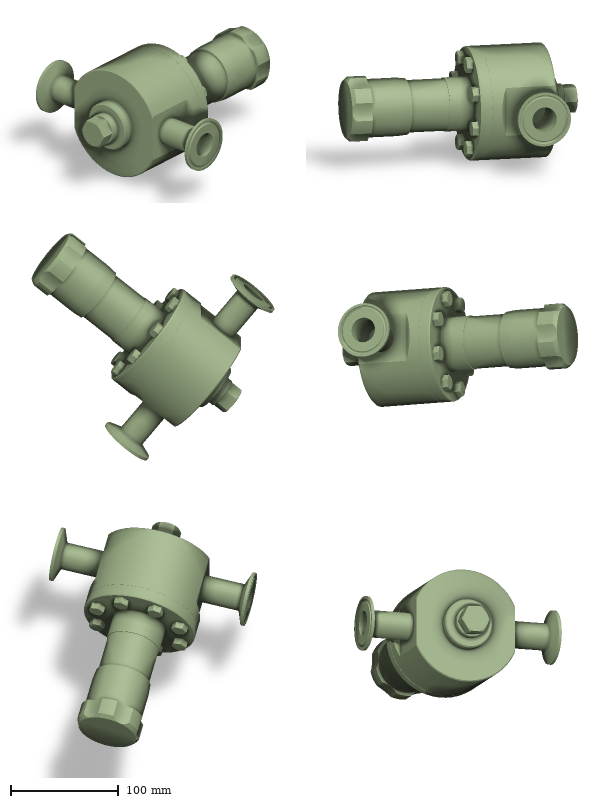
import cadquery as cq
import math


body_radius = 53.34
body_front = -22.2
body_edge_chamfer = 1.0
joint_y = 39.9
joint_groove_width = 0.6
joint_groove_depth = 0.2
cover_back = 50.8
cover_chamfer_radial = 0.4
cover_chamfer_axial = 1.3
flat_x = 48.3
flat_back = 25.7

cutter_clearance = 10.0

hub_radius = 23.0
hub_front = -31.9
hub_chamfer = 1.2
root_fillet = 1.1
stem_radius = 14.3
stem_front = -39.5
stem_chamfer = 0.7
hex_across_flats = 24.0
hex_front = -52.07
hex_turn = 3.0
hex_chamfer_axial = 1.1

collar_radius = 25.15
collar_back = 73.3
neck_radius = 24.4
sleeve_radius = 27.2
sleeve_mouth_radius = 26.35
sleeve_front = 109.9
sleeve_taper_length = 11.4

cap_radius = 30.3
cap_front = 148.2
cap_back = 167.39
cap_chamfer_radial = 2.9
cap_chamfer_axial = 3.4
flute_count = 6
flute_first_angle = 55.4
flute_half_angle = 16.0
flute_floor_radius = 27.3

bolt_count = 8
bolt_circle_radius = 42.9
bolt_across_flats = 12.7
bolt_head_height = 6.0
bolt_chamfer_axial = 0.6

ports_overall_width = 186.44
port_end_x = ports_overall_width / 2
pipe_radius = 12.7
bore_radius = 11.6
ferrule_radius = 25.3
ferrule_rim = 2.9
ferrule_cone_length = 5.0
ferrule_neck_fillet = 1.0
gasket_groove_radius = 21.7
gasket_groove_half_width = 1.35


def bevelled_disc(radius, y_end, y_start, radial, axial):
    """Solid of revolution about Y whose y_end edge is bevelled by radial x axial."""
    y_bevel = y_end - math.copysign(axial, y_end - y_start)
    profile = (
        cq.Workplane("XY")
        .moveTo(0, y_start)
        .lineTo(radius, y_start)
        .lineTo(radius, y_bevel)
        .lineTo(radius - radial, y_end)
        .lineTo(0, y_end)
        .close()
    )
    return profile.revolve(360, (0, 0, 0), (0, 1, 0))


def make_hexagon(across_flats, height, chamfer_axial, turn):
    """Hexagonal prism along +Z, its top turned down conically to the width across flats."""
    corner_radius = across_flats / math.sqrt(3)
    prism = (
        cq.Workplane("XY")
        .polygon(6, 2 * corner_radius)
        .extrude(height)
        .rotate((0, 0, 0), (0, 0, 1), turn)
    )
    envelope = cq.Workplane("XY").circle(corner_radius).extrude(height)
    envelope = envelope.faces(">Z").chamfer(chamfer_axial, corner_radius - across_flats / 2)
    return prism.intersect(envelope)


def make_body():
    """Round body and cover plate with a joint groove and a flat at each port."""
    body = bevelled_disc(body_radius, body_front, joint_y, body_edge_chamfer, body_edge_chamfer)
    cover = bevelled_disc(body_radius, cover_back, joint_y, cover_chamfer_radial, cover_chamfer_axial)
    body = body.union(cover)
    groove = (
        cq.Workplane("XZ", origin=(0, joint_y + joint_groove_width / 2, 0))
        .circle(body_radius + cutter_clearance)
        .circle(body_radius - joint_groove_depth)
        .extrude(joint_groove_width)
    )
    body = body.cut(groove)
    flat_cutter = (
        cq.Workplane("XY")
        .moveTo(flat_x, body_front - cutter_clearance)
        .lineTo(flat_x, flat_back)
        .lineTo(flat_x + cutter_clearance, flat_back + cutter_clearance)
        .lineTo(flat_x + cutter_clearance, body_front - cutter_clearance)
        .close()
        .extrude(body_radius, both=True)
    )
    return body.cut(flat_cutter).cut(flat_cutter.mirror("YZ"))


def make_front_end():
    """Hub, stem and hexagon projecting forward from the body."""
    hub = (
        cq.Workplane("XY")
        .moveTo(0, 0)
        .lineTo(hub_radius + root_fillet, 0)
        .lineTo(hub_radius + root_fillet, body_front)
        .radiusArc((hub_radius, body_front - root_fillet), -root_fillet)
        .lineTo(hub_radius, hub_front + hub_chamfer)
        .lineTo(hub_radius - hub_chamfer, hub_front)
        .lineTo(stem_radius, hub_front)
        .lineTo(stem_radius, stem_front + stem_chamfer)
        .lineTo(stem_radius - stem_chamfer, stem_front)
        .lineTo(0, stem_front)
        .close()
        .revolve(360, (0, 0, 0), (0, 1, 0))
    )
    hexagon = make_hexagon(hex_across_flats, stem_front - hex_front, hex_chamfer_axial, hex_turn)
    hexagon = hexagon.rotate((0, 0, 0), (1, 0, 0), 90).translate((0, stem_front, 0))
    return hub.union(hexagon)


def make_bonnet():
    """Collar, neck and sleeve stacked behind the cover."""
    taper_end = sleeve_front + sleeve_taper_length
    radius_drop = sleeve_radius - sleeve_mouth_radius
    taper_arc_radius = (sleeve_taper_length**2 + radius_drop**2) / (2 * radius_drop)
    return (
        cq.Workplane("XY")
        .moveTo(0, joint_y)
        .lineTo(collar_radius + root_fillet, joint_y)
        .lineTo(collar_radius + root_fillet, cover_back)
        .radiusArc((collar_radius, cover_back + root_fillet), root_fillet)
        .lineTo(collar_radius, collar_back)
        .lineTo(neck_radius, collar_back)
        .lineTo(neck_radius, sleeve_front)
        .lineTo(sleeve_mouth_radius, sleeve_front)
        .radiusArc((sleeve_radius, taper_end), -taper_arc_radius)
        .lineTo(sleeve_radius, cap_front)
        .lineTo(0, cap_front)
        .close()
        .revolve(360, (0, 0, 0), (0, 1, 0))
    )


def make_cap():
    """Bevelled cap with concave finger flutes around its rim."""
    cap = bevelled_disc(cap_radius, cap_back, cap_front, cap_chamfer_radial, cap_chamfer_axial)
    half_chord = cap_radius * math.sin(math.radians(flute_half_angle))
    sagitta = cap_radius * math.cos(math.radians(flute_half_angle)) - flute_floor_radius
    flute_radius = (half_chord**2 + sagitta**2) / (2 * sagitta)
    flute_centre = flute_floor_radius + flute_radius
    flute = (
        cq.Workplane("XZ", origin=(0, cap_back, 0))
        .center(flute_centre, 0)
        .circle(flute_radius)
        .extrude(cap_back - cap_front)
    )
    for index in range(flute_count):
        angle = flute_first_angle + index * 360 / flute_count
        cap = cap.cut(flute.rotate((0, 0, 0), (0, 1, 0), -angle))
    return cap


def make_bolts():
    """Ring of hexagon bolt heads standing on the cover, a corner turned half a pitch off radial."""
    pitch = 360 / bolt_count
    head = make_hexagon(bolt_across_flats, bolt_head_height, bolt_chamfer_axial, -pitch / 2)
    head = head.rotate((0, 0, 0), (1, 0, 0), -90).translate((bolt_circle_radius, cover_back, 0))
    bolts = cq.Workplane("XY")
    for index in range(bolt_count):
        bolts = bolts.add(head.rotate((0, 0, 0), (0, 1, 0), -(index + 0.5) * pitch))
    return bolts.combine()


def make_port():
    """Pipe and clamp ferrule on the +X side, still without its bore."""
    rim_x = port_end_x - ferrule_rim
    neck_x = rim_x - ferrule_cone_length
    pipe = (
        cq.Workplane("XY")
        .moveTo(0, 0)
        .lineTo(0, pipe_radius)
        .lineTo(neck_x, pipe_radius)
        .lineTo(rim_x, ferrule_radius)
        .lineTo(port_end_x, ferrule_radius)
        .lineTo(port_end_x, 0)
        .close()
        .revolve(360, (0, 0, 0), (1, 0, 0))
    )
    neck_edge = cq.selectors.NearestToPointSelector((neck_x, 0, 0))
    pipe = pipe.edges("%CIRCLE").edges(neck_edge).fillet(ferrule_neck_fillet)
    gasket_groove = (
        cq.Workplane("XY")
        .center(port_end_x, gasket_groove_radius)
        .circle(gasket_groove_half_width)
        .revolve(360, (0, -gasket_groove_radius, 0), (1, -gasket_groove_radius, 0))
    )
    return pipe.cut(gasket_groove)


def make_bore():
    """Cylinder that opens the +X port from its end to the body flat."""
    return cq.Workplane("YZ", origin=(flat_x, 0, 0)).circle(bore_radius).extrude(port_end_x - flat_x)


port = make_port()
bore = make_bore()
result = make_body()
result = result.union(make_front_end())
result = result.union(make_bonnet())
result = result.union(make_cap())
result = result.union(make_bolts())
result = result.union(port).union(port.mirror("YZ"))
result = result.cut(bore).cut(bore.mirror("YZ"))